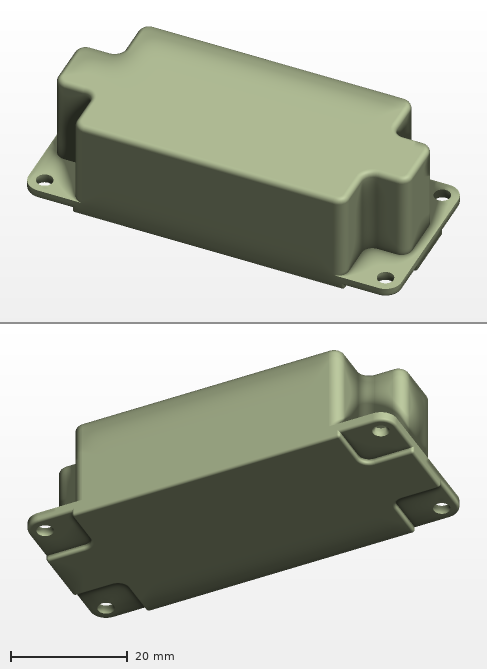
import cadquery as cq

length = 70.0
width = 30.0
height = 19.7

flange_bottom = 1.0
flange_top = 2.7
flange_corner_radius = 3.0
hole_diameter = 3.0
hole_inset = 3.0

corner_notch = 9.45
housing_end_inset = 1.75
notch_radius = 2.0
housing_corner_radius = 2.0
top_round = 1.0
base_round = 0.5

selection_margin = 0.1


def rounded_block(size_x, size_y, corner_radius, z_bottom, z_top):
    """Upright block, centred on the Z axis, with rounded vertical edges."""
    block = cq.Workplane("XY").workplane(offset=z_bottom).rect(size_x, size_y).extrude(z_top - z_bottom)
    return block.edges("|Z").fillet(corner_radius)


def cross_prism(overall_length, corner_radius, z_bottom, z_top):
    """Cross-shaped prism: a full-width middle block with a narrower arm at each end."""
    middle_length = length - 2 * corner_notch
    arm_width = width - 2 * corner_notch
    middle = rounded_block(middle_length, width, corner_radius, z_bottom, z_top)
    arms = rounded_block(overall_length, arm_width, corner_radius, z_bottom, z_top)

    half_x = middle_length / 2 + selection_margin
    half_y = arm_width / 2 + selection_margin
    concave_edges = cq.selectors.BoxSelector((-half_x, -half_y, z_bottom), (half_x, half_y, z_top))
    return middle.union(arms).edges("|Z").edges(concave_edges).fillet(notch_radius)


def make_housing():
    housing_length = length - 2 * housing_end_inset
    housing = cross_prism(housing_length, housing_corner_radius, flange_top, height)
    return housing.faces(">Z").edges().fillet(top_round)


def make_flange():
    flange = rounded_block(length, width, flange_corner_radius, flange_bottom, flange_top)
    return flange.faces("<Z").edges().fillet(base_round)


def make_base_pad():
    pad = cross_prism(length, base_round, 0, flange_top)
    return pad.faces("<Z").edges().fillet(base_round)


def make_mounting_holes():
    return (
        cq.Workplane("XY")
        .rect(length - 2 * hole_inset, width - 2 * hole_inset, forConstruction=True)
        .vertices()
        .circle(hole_diameter / 2)
        .extrude(flange_top)
    )


result = make_flange().union(make_base_pad()).union(make_housing()).cut(make_mounting_holes())